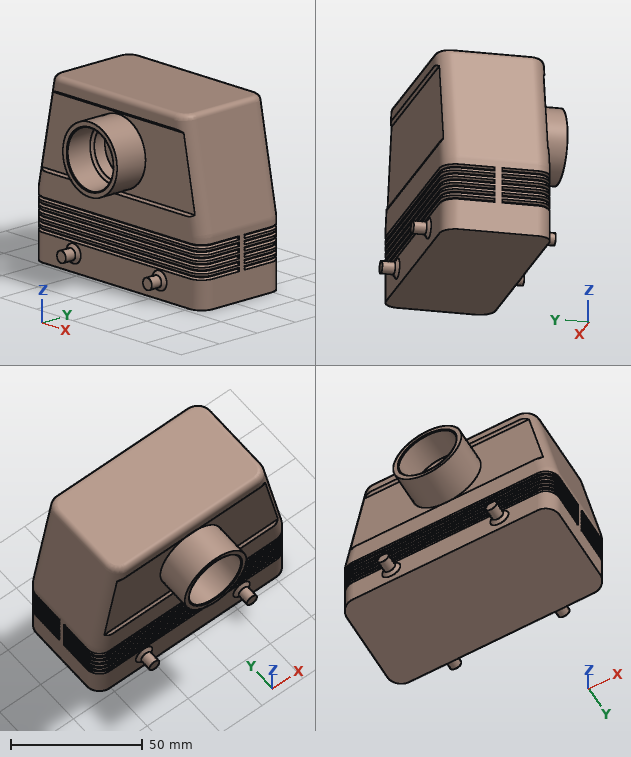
import cadquery as cq

LENGTH = 93.5
WIDTH = 43.2
HEIGHT = 76.0
BEND_HEIGHT = 29.5
TOP_LENGTH = 75.2
BEND_RADIUS = 7.5
CORNER_RADIUS = 6.2
TOP_RADIUS = 2.5

RECESS_BOTTOM = 36.7
RECESS_TOP = 70.1
RECESS_DEPTH = 1.0

GROOVE_COUNT = 6
GROOVE_PITCH = 2.5
GROOVE_HEIGHT = 1.5
GROOVE_DEPTH = 1.0
FIRST_GROOVE_Z = 12.9
WEB_WIDTH = 3.0

PEG_SPACING = 47.5
PEG_Z = 7.6
PEG_DIAMETER = 5.0
PEG_BASE_DIAMETER = 8.0
PEG_BASE_LENGTH = 1.3
PEG_TIP_Y = 28.0

ENTRY_Z = 53.5
ENTRY_DIAMETER = 30.0
ENTRY_FACE_Y = -35.5
BORE_DIAMETER = 25.2
BORE_DEPTH = 12.1
SHOULDER_RADIUS = 1.1
MOUTH_CHAMFER = 0.4
INNER_BORE_DIAMETER = 22.9
INNER_BORE_DEPTH = 18.7

HALF_WIDTH = WIDTH / 2


def make_body():
    """Straight lower walls, leaning end walls above, all outer edges rounded."""
    body = (
        cq.Workplane("XZ")
        .moveTo(-LENGTH / 2, 0)
        .lineTo(LENGTH / 2, 0)
        .lineTo(LENGTH / 2, BEND_HEIGHT)
        .lineTo(TOP_LENGTH / 2, HEIGHT)
        .lineTo(-TOP_LENGTH / 2, HEIGHT)
        .lineTo(-LENGTH / 2, BEND_HEIGHT)
        .close()
        .extrude(HALF_WIDTH, both=True)
    )
    for side in (-1, 1):
        bend_point = (side * LENGTH / 2, 0, BEND_HEIGHT)
        body = body.edges(cq.selectors.NearestToPointSelector(bend_point)).fillet(BEND_RADIUS)
    body = body.faces("<Y or >Y").edges("not |X").fillet(CORNER_RADIUS)
    return body.faces(">Z").edges().fillet(TOP_RADIUS)


def make_recess(side):
    """Cutter for the recess on one long side, with 45 degree top and bottom ends."""
    surface = side * HALF_WIDTH
    floor = side * (HALF_WIDTH - RECESS_DEPTH)
    return (
        cq.Workplane("YZ")
        .moveTo(surface, RECESS_BOTTOM)
        .lineTo(floor, RECESS_BOTTOM + RECESS_DEPTH)
        .lineTo(floor, RECESS_TOP - RECESS_DEPTH)
        .lineTo(surface, RECESS_TOP)
        .close()
        .extrude(LENGTH / 2, both=True)
    )


def body_outline(inset):
    """Rounded rectangle of the lower body, moved inwards by inset."""
    return (
        cq.Sketch()
        .rect(LENGTH - 2 * inset, WIDTH - 2 * inset)
        .vertices()
        .fillet(CORNER_RADIUS - inset)
    )


def make_groove(middle_z):
    """V groove running around the body, interrupted at the middle of each end wall."""
    groove = cq.Workplane("XY", origin=(0, 0, middle_z)).box(LENGTH, WIDTH, GROOVE_HEIGHT)
    for half_height in (-GROOVE_HEIGHT / 2, GROOVE_HEIGHT / 2):
        rim = body_outline(0).moved(cq.Location(cq.Vector(0, 0, half_height)))
        core_half = (
            cq.Workplane("XY", origin=(0, 0, middle_z))
            .placeSketch(body_outline(GROOVE_DEPTH), rim)
            .loft()
        )
        groove = groove.cut(core_half)
    web = cq.Workplane("XY", origin=(0, 0, middle_z)).box(LENGTH, WEB_WIDTH, GROOVE_HEIGHT)
    return groove.cut(web)


def make_peg(x, side):
    """Round locking peg with a conical base, standing on one long side."""
    root_y = HALF_WIDTH - RECESS_DEPTH
    cone_end_y = HALF_WIDTH + PEG_BASE_LENGTH
    peg = (
        cq.Workplane("XY")
        .moveTo(0, root_y)
        .lineTo(PEG_BASE_DIAMETER / 2, root_y)
        .lineTo(PEG_BASE_DIAMETER / 2, HALF_WIDTH)
        .lineTo(PEG_DIAMETER / 2, cone_end_y)
        .lineTo(PEG_DIAMETER / 2, PEG_TIP_Y)
        .lineTo(0, PEG_TIP_Y)
        .close()
        .revolve(360, (0, 0, 0), (0, 1, 0))
    )
    if side < 0:
        peg = peg.mirror("XZ")
    return peg.translate((x, 0, PEG_Z))


def make_entry():
    """Solid cylinder of the cable entry, reaching from its face into the body."""
    face = cq.Workplane("XZ", origin=(0, ENTRY_FACE_Y, ENTRY_Z))
    length_into_body = -ENTRY_FACE_Y - HALF_WIDTH + 2 * RECESS_DEPTH
    return face.circle(ENTRY_DIAMETER / 2).extrude(-length_into_body)


def make_bore():
    """Stepped blind bore: chamfered mouth, main bore, rounded shoulder, inner bore."""
    bore_radius = BORE_DIAMETER / 2
    inner_radius = INNER_BORE_DIAMETER / 2
    return (
        cq.Workplane("XY")
        .moveTo(0, 0)
        .lineTo(bore_radius + MOUTH_CHAMFER, 0)
        .lineTo(bore_radius, MOUTH_CHAMFER)
        .lineTo(bore_radius, BORE_DEPTH)
        .lineTo(inner_radius + SHOULDER_RADIUS, BORE_DEPTH)
        .radiusArc((inner_radius, BORE_DEPTH + SHOULDER_RADIUS), -SHOULDER_RADIUS)
        .lineTo(inner_radius, INNER_BORE_DEPTH)
        .lineTo(0, INNER_BORE_DEPTH)
        .close()
        .revolve(360, (0, 0, 0), (0, 1, 0))
        .translate((0, ENTRY_FACE_Y, ENTRY_Z))
    )


result = make_body()
for long_side in (-1, 1):
    result = result.cut(make_recess(long_side))
for index in range(GROOVE_COUNT):
    result = result.cut(make_groove(FIRST_GROOVE_Z + index * GROOVE_PITCH))
for long_side in (-1, 1):
    for peg_x in (-PEG_SPACING / 2, PEG_SPACING / 2):
        result = result.union(make_peg(peg_x, long_side))
result = result.union(make_entry()).cut(make_bore())